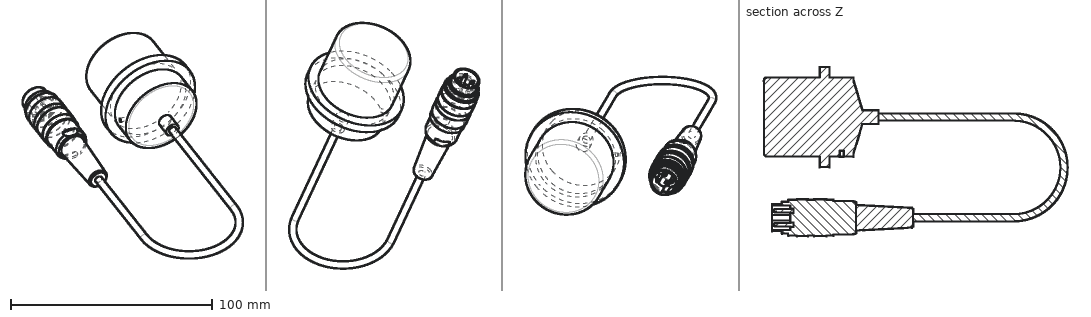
import cadquery as cq
import math

FULL_TURN = 360

overall_length = 151.0
cable_dia = 3.8
axis_spacing = 50.0
plug_y = -axis_spacing
bend_radius = axis_spacing / 2

housing_dia = 39.5
housing_edge_radius = 1.8
housing_length = 44.7
flange_dia = 50.0
flange_start = 27.8
flange_width = 5.0
cone_base_dia = 36.2
cone_length = 4.4
gland_dia = 7.0
gland_length = 8.0
vent_dia = 1.8
vent_depth = 3.0
vent_x = (flange_start + flange_width + housing_length) / 2

plug_front = 4.0
nose_dia = 13.5
nose_end = 8.8
collar_dia = 16.0
collar_end = 11.9
sleeve_dia = 18.1
grip_dia = 18.5
front_grip_start = 16.2
front_grip_end = 21.9
rear_grip_start = 25.0
rear_grip_end = 31.1
sleeve_end = 34.5
back_shell_dia = 16.8
back_shell_end = 46.0
back_shell_chamfer_length = 1.8
back_shell_chamfer_depth = 0.8
step_chamfer = 0.3
flat_start = 42.0
flat_spacing = 15.0
socket_dia = 11.9
socket_depth = 9.0
key_dia = 3.0
key_axis_drop = 6.3
guide_angle = -90
guide_hole_dia = 2.3
guide_hole_depth = 1.5
guide_bore_dia = 1.5
guide_bore_depth = 3.0

boot_front_dia = 12.8
boot_rear_dia = 10.0
boot_end = 74.3
boot_edge_chamfer = 0.8

pin_angles = (0, 90, 180)
pin_circle_dia = 7.0
pin_dia = 1.8
pin_length = 9.8
pin_seat_depth = 1.5
pin_tip_dia = 1.0
pin_tip_length = 1.2

gland_end = housing_length + cone_length + gland_length
bend_start_x = overall_length - bend_radius - cable_dia / 2


def make_housing():
    r = housing_dia / 2
    flange_end = flange_start + flange_width
    cone_end = housing_length + cone_length
    outline = (
        cq.Workplane("XY")
        .lineTo(0, r)
        .lineTo(flange_start, r)
        .lineTo(flange_start, flange_dia / 2)
        .lineTo(flange_end, flange_dia / 2)
        .lineTo(flange_end, r)
        .lineTo(housing_length, r)
        .lineTo(housing_length, cone_base_dia / 2)
        .lineTo(cone_end, gland_dia / 2)
        .lineTo(gland_end, gland_dia / 2)
        .lineTo(gland_end, 0)
        .close()
    )
    body = outline.revolve(FULL_TURN, (0, 0, 0), (1, 0, 0))
    body = body.faces("<X").edges().fillet(housing_edge_radius)
    vent = (
        cq.Workplane("XZ", origin=(vent_x, -r, 0))
        .circle(vent_dia / 2)
        .extrude(-vent_depth)
    )
    return body.cut(vent)


def contact_position(angle_degrees):
    angle = math.radians(angle_degrees)
    radius = pin_circle_dia / 2
    return plug_y + radius * math.cos(angle), radius * math.sin(angle)


def socket_floor_rod(angle_degrees, diameter, depth):
    """Round rod running from the socket floor into the plug, at a place on the contact circle."""
    y, z = contact_position(angle_degrees)
    return cq.Workplane("YZ", origin=(plug_front + socket_depth, y, z)).circle(diameter / 2).extrude(depth)


def make_plug():
    outline = (
        cq.Workplane("XY", origin=(0, plug_y, 0))
        .moveTo(plug_front, 0)
        .lineTo(plug_front, nose_dia / 2)
        .lineTo(nose_end, nose_dia / 2)
        .lineTo(nose_end, collar_dia / 2 - step_chamfer)
        .lineTo(nose_end + step_chamfer, collar_dia / 2)
        .lineTo(collar_end, collar_dia / 2)
        .lineTo(collar_end, sleeve_dia / 2 - step_chamfer)
        .lineTo(collar_end + step_chamfer, sleeve_dia / 2)
        .lineTo(front_grip_start, sleeve_dia / 2)
        .lineTo(front_grip_start + step_chamfer, grip_dia / 2)
        .lineTo(front_grip_end, grip_dia / 2)
        .lineTo(front_grip_end, sleeve_dia / 2)
        .lineTo(rear_grip_start, sleeve_dia / 2)
        .lineTo(rear_grip_start, grip_dia / 2)
        .lineTo(rear_grip_end, grip_dia / 2)
        .lineTo(rear_grip_end, sleeve_dia / 2)
        .lineTo(sleeve_end, sleeve_dia / 2)
        .lineTo(sleeve_end, back_shell_dia / 2)
        .lineTo(back_shell_end - back_shell_chamfer_length, back_shell_dia / 2)
        .lineTo(back_shell_end, back_shell_dia / 2 - back_shell_chamfer_depth)
        .lineTo(back_shell_end, 0)
        .close()
    )
    body = outline.revolve(FULL_TURN, (0, 0, 0), (1, 0, 0))

    flat_length = back_shell_end - flat_start
    for side in (1, -1):
        flat = cq.Workplane("XY").box(flat_length, grip_dia, grip_dia, centered=(False, True, True))
        body = body.cut(flat.translate((flat_start, plug_y, side * (flat_spacing + grip_dia) / 2)))

    socket = (
        cq.Workplane("YZ", origin=(plug_front, plug_y, 0)).circle(socket_dia / 2).extrude(socket_depth)
    )
    key = (
        cq.Workplane("YZ", origin=(plug_front, plug_y, -key_axis_drop))
        .circle(key_dia / 2)
        .extrude(socket_depth)
    )
    guide_hole = socket_floor_rod(guide_angle, guide_hole_dia, guide_hole_depth)
    guide_bore = socket_floor_rod(guide_angle, guide_bore_dia, guide_bore_depth)
    return body.cut(socket.cut(key)).cut(guide_hole).cut(guide_bore)


def make_boot():
    return (
        cq.Workplane("XY", origin=(0, plug_y, 0))
        .moveTo(back_shell_end, 0)
        .lineTo(back_shell_end, boot_front_dia / 2)
        .lineTo(boot_end - boot_edge_chamfer, boot_rear_dia / 2)
        .lineTo(boot_end, boot_rear_dia / 2 - boot_edge_chamfer)
        .lineTo(boot_end, 0)
        .close()
        .revolve(FULL_TURN, (0, 0, 0), (1, 0, 0))
    )


def make_pin(angle_degrees):
    y, z = contact_position(angle_degrees)
    seat_x = plug_front + socket_depth + pin_seat_depth
    return (
        cq.Workplane("XY", origin=(seat_x, y, z))
        .lineTo(0, pin_dia / 2)
        .lineTo(pin_tip_length - pin_length, pin_dia / 2)
        .lineTo(-pin_length, pin_tip_dia / 2)
        .lineTo(-pin_length, 0)
        .close()
        .revolve(FULL_TURN, (0, 0, 0), (1, 0, 0))
    )


def make_cable():
    path = (
        cq.Workplane("XY")
        .moveTo(gland_end, 0)
        .lineTo(bend_start_x, 0)
        .threePointArc((bend_start_x + bend_radius, -bend_radius), (bend_start_x, plug_y))
        .lineTo(boot_end, plug_y)
    )
    return cq.Workplane("YZ", origin=(gland_end, 0, 0)).circle(cable_dia / 2).sweep(path)


housing = make_housing()
plug = make_plug()
boot = make_boot()
cable = make_cable()
pins = [make_pin(angle) for angle in pin_angles]
for pin in pins:
    plug = plug.cut(pin)

result = cq.Compound.makeCompound([
    housing.val(),
    plug.val(),
    boot.val(),
    cable.val(),
    *[pin.val() for pin in pins],
])